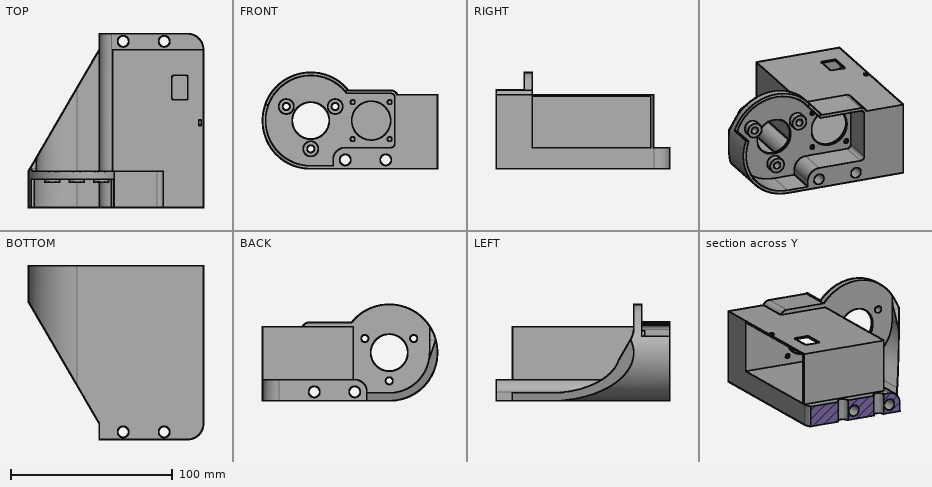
import cadquery as cq
import math

LENGTH = 108.8
DEPTH = 108.0
DISC_RADIUS = 30.0
AXIS_X = DISC_RADIUS
AXIS_Z = DISC_RADIUS

WALL = 2.0
SKIRT_WALL = 5.0
ROOF = 1.0
PLATE_BACK = 22.5
PLATE_FRONT = PLATE_BACK - WALL
BASE_LEFT = 43.8
BASE_TOP = 13.3
BASE_ROUND = 7.6
BASE_CORNER = 10.0
BOX_LEFT = 52.3
BOX_BACK = 97.9
BOX_TOP = 46.1

POCKET_RIGHT = 82.2
POCKET_TOP = 46.9
POCKET_CORNER = 2.5
LID_CORNER = POCKET_CORNER + WALL
LID_TOP = POCKET_TOP + WALL
LID_RIGHT = POCKET_RIGHT + WALL
POCKET_LEFT = 49.0
MOTOR_X = 67.5
MOTOR_RADIUS = 12.1
MOTOR_SCREW_SPACING = 23.0
MOTOR_SCREW_RADIUS = 1.4

RIM_OPEN_START = 40.0
RIM_OPEN_END = 160.0
RIM_OPEN_DEPTH = 17.5
SHAFT_RADIUS = 11.4
BOSS_CIRCLE_RADIUS = 17.5
BOSS_RADIUS = 4.7
BOSS_HEIGHT = 4.8
BOSS_HOLE_RADIUS = 2.2
BOSS_ANGLES = (30, 150, 270)

SKIRT_FILLET = 15.0
SKIRT_ANGLE = 60.0
SKIRT_ARC_TOP = 45.6
SKIRT_END_WIDTH = 6.5

BOLT_RADIUS = 3.4
LONG_BOLT_XS = (51.5, 76.6)
LONG_BOLT_Z = BASE_TOP - BASE_ROUND
TAB_BOLT_XS = (58.8, 84.3)
TAB_BOLT_Y = 103.2

WINDOW_X = 94.1
WINDOW_Y = 74.5
WINDOW_WIDTH = 9.9
WINDOW_LENGTH = 15.1
WINDOW_CORNER = 1.0
SLOT_X = 106.5
SLOT_Y = 52.6
SLOT_LENGTH = 3.8
SLOT_WIDTH = 1.5


def block(x0, x1, y0, y1, z0, z1):
    """Box given by its limits along each axis."""
    return cq.Workplane("XY").box(x1 - x0, y1 - y0, z1 - z0, centered=False).translate((x0, y0, z0))


def rod(x, z, radius, y0, y1):
    """Cylinder parallel to Y."""
    return cq.Workplane("XZ", origin=(x, y0, z)).circle(radius).extrude(y0 - y1)


def disc(radius, y0, y1):
    """Cylinder on the axis of the round housing."""
    return rod(AXIS_X, AXIS_Z, radius, y0, y1)


def make_base():
    """Long base rail with a rounded left edge and one rounded rear corner."""
    base = block(BASE_LEFT, LENGTH, 0, DEPTH, 0, BASE_TOP)
    base = base.edges("|Y and <X and >Z").fillet(BASE_ROUND)
    return base.edges("|Z and >X and >Y").fillet(BASE_CORNER)


def make_box():
    """Box on the base, hollow behind the mounting plate and open at its right end."""
    box = block(BOX_LEFT, LENGTH, 0, BOX_BACK, 0, BOX_TOP)
    cavity = block(BOX_LEFT + WALL, LENGTH, PLATE_BACK, BOX_BACK - WALL, BASE_TOP, BOX_TOP - ROOF)
    window = (
        cq.Workplane("XY", origin=(WINDOW_X, WINDOW_Y, BASE_TOP))
        .rect(WINDOW_WIDTH, WINDOW_LENGTH)
        .extrude(BOX_TOP - BASE_TOP)
        .edges("|Z")
        .fillet(WINDOW_CORNER)
    )
    slot = (
        cq.Workplane("XY", origin=(SLOT_X, SLOT_Y, BASE_TOP))
        .slot2D(SLOT_LENGTH, SLOT_WIDTH, 90)
        .extrude(BOX_TOP - BASE_TOP)
    )
    return box.cut(cavity).cut(window).cut(slot)


def make_skirt():
    """Trough wall behind the plate, tapering from the round housing to the rear of the base."""
    outside = disc(DISC_RADIUS, PLATE_BACK, BOX_BACK)
    outside = outside.union(block(AXIS_X, BASE_LEFT + BASE_ROUND, PLATE_BACK, BOX_BACK, 0, SKIRT_WALL))
    inside = disc(DISC_RADIUS - SKIRT_WALL, PLATE_BACK, BOX_BACK)
    inside = inside.union(block(SKIRT_WALL, LENGTH, PLATE_BACK, BOX_BACK, AXIS_Z, LENGTH))
    inside = inside.union(block(AXIS_X, LENGTH, PLATE_BACK, BOX_BACK, SKIRT_WALL, LENGTH))
    taper = (
        cq.Workplane("XY")
        .polyline([(0, PLATE_BACK), (LENGTH, PLATE_BACK), (LENGTH, BOX_BACK), (BASE_LEFT, BOX_BACK)])
        .close()
        .extrude(LENGTH)
    )
    return outside.cut(inside).intersect(taper).cut(make_skirt_end())


def make_skirt_end():
    """Space above the sloped end of the left wall, blending into the back of the plate."""
    slope = math.radians(SKIRT_ANGLE)
    sweep = math.pi / 2 - slope
    arc_y = PLATE_BACK + SKIRT_FILLET
    arc_points = [
        (arc_y - SKIRT_FILLET * math.cos(a), SKIRT_ARC_TOP - SKIRT_FILLET * math.sin(a))
        for a in (sweep / 2, sweep)
    ]
    foot_y = arc_points[1][0] + arc_points[1][1] / math.tan(slope)
    return (
        cq.Workplane("YZ")
        .moveTo(PLATE_BACK, SKIRT_ARC_TOP)
        .threePointArc(*arc_points)
        .lineTo(foot_y, 0)
        .lineTo(BOX_BACK, 0)
        .lineTo(BOX_BACK, LENGTH)
        .lineTo(PLATE_BACK, LENGTH)
        .close()
        .extrude(SKIRT_END_WIDTH)
    )


def make_front_shell():
    """Round housing and motor pocket, closed at the back by the mounting plate."""
    lid = block(POCKET_LEFT, LID_RIGHT, 0, PLATE_BACK, 0, LID_TOP)
    lid = lid.edges("|Y and >X and >Z").fillet(LID_CORNER)
    floor = block(AXIS_X, BASE_LEFT + BASE_ROUND, 0, PLATE_BACK, 0, AXIS_Z)
    return disc(DISC_RADIUS, 0, PLATE_BACK).union(lid).union(floor)


def make_front_recess():
    """Space in front of the mounting plate, including the opening in the rim."""
    bore = disc(DISC_RADIUS - WALL, 0, PLATE_FRONT)
    floor = block(AXIS_X, BASE_LEFT + BASE_ROUND, 0, PLATE_FRONT, WALL, AXIS_Z)
    pocket = block(POCKET_LEFT, POCKET_RIGHT, 0, PLATE_FRONT, BASE_TOP, POCKET_TOP)
    pocket = pocket.edges("|Y and >X").fillet(POCKET_CORNER)

    start = math.radians(RIM_OPEN_START)
    end = math.radians(RIM_OPEN_END)
    reach = DISC_RADIUS + WALL
    arc_points = [
        (AXIS_X + reach * math.cos(a), AXIS_Z + reach * math.sin(a)) for a in (start, (start + end) / 2, end)
    ]
    rim_opening = (
        cq.Workplane("XZ")
        .moveTo(AXIS_X, AXIS_Z)
        .lineTo(*arc_points[0])
        .threePointArc(*arc_points[1:])
        .close()
        .extrude(-RIM_OPEN_DEPTH)
    )
    return bore.union(floor).union(pocket).union(rim_opening)


boss_centers = [
    (
        AXIS_X + BOSS_CIRCLE_RADIUS * math.cos(math.radians(angle)),
        AXIS_Z + BOSS_CIRCLE_RADIUS * math.sin(math.radians(angle)),
    )
    for angle in BOSS_ANGLES
]

base = make_base()
result = make_front_shell().union(make_box()).cut(make_front_recess().cut(base))
result = result.union(base).union(make_skirt())

for x, z in boss_centers:
    result = result.union(rod(x, z, BOSS_RADIUS, PLATE_FRONT - BOSS_HEIGHT, PLATE_BACK))
    result = result.cut(rod(x, z, BOSS_HOLE_RADIUS, 0, PLATE_BACK))
result = result.cut(disc(SHAFT_RADIUS, PLATE_FRONT, PLATE_BACK))

result = result.cut(rod(MOTOR_X, AXIS_Z, MOTOR_RADIUS, PLATE_FRONT, PLATE_BACK))
for side_x in (-1, 1):
    for side_z in (-1, 1):
        screw_x = MOTOR_X + side_x * MOTOR_SCREW_SPACING / 2
        screw_z = AXIS_Z + side_z * MOTOR_SCREW_SPACING / 2
        result = result.cut(rod(screw_x, screw_z, MOTOR_SCREW_RADIUS, PLATE_FRONT, PLATE_BACK))

for x in LONG_BOLT_XS:
    result = result.cut(rod(x, LONG_BOLT_Z, BOLT_RADIUS, 0, DEPTH))
for x in TAB_BOLT_XS:
    tab_hole = cq.Workplane("XY", origin=(x, TAB_BOLT_Y, 0)).circle(BOLT_RADIUS).extrude(BASE_TOP)
    result = result.cut(tab_hole)